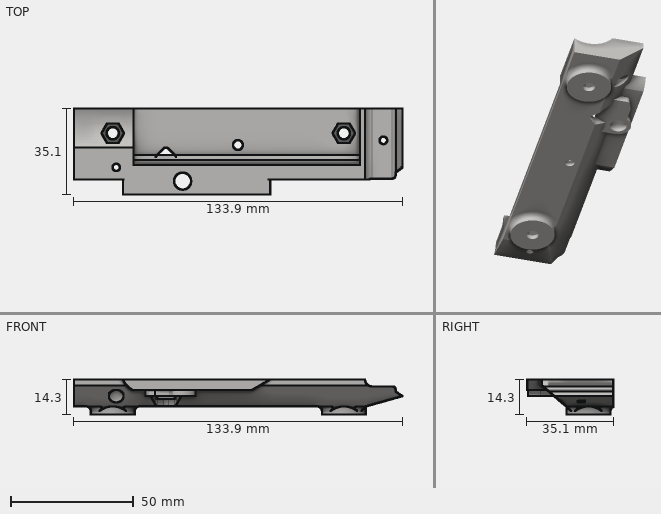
import cadquery as cq
import math


length = 133.86
plate_height = 11.0
bar_width = 29.0
bevel_start = 19.1
side_face_height = 2.5

step_start = 118.6
step_radius = 2.8
ledge_z = plate_height - step_radius
nose_x = 131.1
nose_radius = 1.5
nose_corner_z = 6.0
tip_z = 4.2

wing_front = 35.07
wing_left = 20.0
wing_right = 80.0
wing_thickness = 4.35
wing_z = plate_height - wing_thickness
wing_left_run = 4.0
wing_left_radius = 8.0
wing_right_angle = 30.0

trough_radius = 12.5
trough_depth = 5.0
trough_y = 6.0

pocket_left = 24.2
pocket_right = 116.6
pocket_floor_z = 3.2
pocket_floor_width = 18.9
pocket_shelf_start = 21.0
pocket_shelf_z = 5.2
pocket_width = 23.0

foot_height = 3.3
foot_radius = 9.0
foot_fillet = 1.8
foot_y = 10.1
foot_x_positions = (15.85, 109.95)
screw_hole_diameter = 4.9
nut_across_flats = 8.0
nut_seat_z = -1.3
nose_underside_start = foot_x_positions[1] + foot_radius

boss_thickness = 2.5
boss_z = wing_z - boss_thickness
boss_left = 29.1
boss_round_radius = 5.2
boss_fillet = 1.0
boss_back = 18.0
pivot_x = 44.3
pivot_y = 29.6
pivot_hole_diameter = 6.85
tab_side_end = 29.25
tab_corner = (30.3, 30.85)
tab_corner_radius = 1.6
tab_front_start = 33.1
tab_front = 32.0

notch_x = 37.5
notch_apex_y = 15.4
notch_apex_radius = 1.4
notch_kink_radius = 5.0
notch_kink_y = 19.4
notch_mouth_y = 24.5
notch_mouth_half_width = 6.5

pocket_slope_z = boss_z

small_holes = ((17.25, 24.0, 2.9), (66.8, 14.9, 3.9), (126.05, 13.0, 3.0))
counterbore_diameter = 6.0
counterbore_top_z = 8.0


def cylinder(x, y, z_low, z_high, diameter):
    """Vertical cylinder; y is the distance from the rear edge."""
    base = cq.Workplane("XY", origin=(x, -y, z_low))
    return base.circle(diameter / 2).extrude(z_high - z_low)


def along_x(points, x_low, x_high):
    """Prism along X from (distance from rear edge, z) points."""
    section = [(-y, z) for y, z in points]
    return cq.Workplane("YZ", origin=(x_low, 0, 0)).polyline(section).close().extrude(x_high - x_low)


def make_bar():
    """Bar with a bevelled front, a stepped right end and a pointed nose."""
    bevelled = along_x(
        [
            (0, 0),
            (bevel_start, 0),
            (bar_width, plate_height - side_face_height),
            (bar_width, plate_height),
            (0, plate_height),
        ],
        0,
        length,
    )
    diagonal = math.sqrt(0.5)
    step_middle = (
        step_start + step_radius * (1 - diagonal),
        plate_height - step_radius * diagonal,
    )
    nose_middle = (
        nose_x - nose_radius * (1 - diagonal),
        ledge_z - nose_radius * (1 - diagonal),
    )
    side_profile = (
        cq.Workplane("XZ")
        .moveTo(0, 0)
        .lineTo(nose_underside_start, 0)
        .lineTo(length, tip_z)
        .lineTo(nose_x, nose_corner_z)
        .lineTo(nose_x, ledge_z - nose_radius)
        .threePointArc(nose_middle, (nose_x - nose_radius, ledge_z))
        .lineTo(step_start + step_radius, ledge_z)
        .threePointArc(step_middle, (step_start, plate_height))
        .lineTo(0, plate_height)
        .close()
        .extrude(bar_width)
    )
    return bevelled.intersect(side_profile)


def make_wing():
    """Thin plate with a curved left end and a sloping right end."""
    right_run = wing_thickness / math.tan(math.radians(wing_right_angle))
    return (
        cq.Workplane("XZ", origin=(0, -bevel_start, 0))
        .moveTo(wing_left, plate_height)
        .radiusArc((wing_left + wing_left_run, wing_z), -wing_left_radius)
        .lineTo(wing_right - right_run, wing_z)
        .lineTo(wing_right, plate_height)
        .close()
        .extrude(wing_front - bevel_start)
    )


def make_boss():
    """Tab with a round pivot end, hanging below the wing."""
    tab = (
        cq.Workplane("XY", origin=(0, 0, boss_z))
        .moveTo(boss_left, -boss_back)
        .lineTo(boss_left, -tab_side_end)
        .radiusArc((tab_corner[0], -tab_corner[1]), -tab_corner_radius)
        .lineTo(tab_front_start, -tab_front)
        .lineTo(pivot_x, -tab_front)
        .lineTo(pivot_x + boss_round_radius, -pivot_y)
        .lineTo(pivot_x + boss_round_radius, -boss_back)
        .close()
        .extrude(boss_thickness)
    )
    boss = tab.union(cylinder(pivot_x, pivot_y, boss_z, wing_z, 2 * boss_round_radius))
    joint_x = pivot_x - math.sqrt(boss_round_radius**2 - (tab_front - pivot_y) ** 2)
    joint = cq.NearestToPointSelector((joint_x, -tab_front, boss_z + boss_thickness / 2))
    return boss.edges(joint).fillet(boss_fillet)


def make_foot(x):
    """Foot with a filleted root; the fillet fades out at the edges of the flat underside."""
    root_radius = foot_radius + foot_fillet
    flare = (
        cq.Workplane("XZ")
        .lineTo(root_radius, 0)
        .radiusArc((foot_radius, -foot_fillet), -foot_fillet)
        .lineTo(0, -foot_fillet)
        .close()
        .revolve(360, (0, 0, 0), (0, 1, 0))
        .translate((x, -foot_y, 0))
    )
    front_trim = along_x(
        [(0, 0), (bevel_start, 0), (bevel_start - foot_fillet, -foot_fillet), (0, -foot_fillet)],
        0,
        length,
    )
    end_trim = (
        cq.Workplane("XZ")
        .lineTo(nose_underside_start, 0)
        .lineTo(nose_underside_start - foot_fillet, -foot_fillet)
        .lineTo(0, -foot_fillet)
        .close()
        .extrude(bar_width)
    )
    disc = cylinder(x, foot_y, -foot_height, pocket_floor_z / 2, 2 * foot_radius)
    return disc.union(flare.intersect(front_trim).intersect(end_trim))


def make_trough():
    """Cylinder along X that hollows the top of the left end."""
    axis_z = plate_height + trough_radius - trough_depth
    return (
        cq.Workplane("YZ", origin=(0, -trough_y, axis_z))
        .circle(trough_radius)
        .extrude(pocket_left)
    )


def make_pocket():
    """Pocket open to the top and rear, with a shelf along its front wall."""
    return along_x(
        [
            (0, pocket_floor_z),
            (pocket_floor_width, pocket_floor_z),
            (pocket_floor_width, pocket_slope_z),
            (pocket_shelf_start, pocket_shelf_z),
            (pocket_width, pocket_shelf_z),
            (pocket_width, plate_height),
            (0, plate_height),
        ],
        pocket_left,
        pocket_right,
    )


def make_notch():
    """V-shaped cutout with a rounded apex, from the underside up to the boss."""
    kink_half_width = notch_kink_y - notch_apex_y
    notch = (
        cq.Workplane("XY")
        .polyline(
            [
                (notch_x, -notch_apex_y),
                (notch_x + kink_half_width, -notch_kink_y),
                (notch_x + notch_mouth_half_width, -notch_mouth_y),
                (notch_x - notch_mouth_half_width, -notch_mouth_y),
                (notch_x - kink_half_width, -notch_kink_y),
            ]
        )
        .close()
        .extrude(boss_z)
    )
    notch = notch.edges("|Z").edges(">Y").fillet(notch_apex_radius)
    for side in (-1, 1):
        kink = (notch_x + side * kink_half_width, -notch_kink_y, boss_z / 2)
        notch = notch.edges(cq.NearestToPointSelector(kink)).fillet(notch_kink_radius)
    return notch


def make_nut_recess(x):
    """Hexagonal recess open to the top, with a screw hole through the foot."""
    across_corners = nut_across_flats / math.cos(math.radians(30))
    recess = (
        cq.Workplane("XY", origin=(x, -foot_y, nut_seat_z))
        .polygon(6, across_corners)
        .extrude(plate_height - nut_seat_z)
    )
    return recess.union(cylinder(x, foot_y, -foot_height, plate_height, screw_hole_diameter))


result = make_bar().union(make_wing()).union(make_boss())
for foot_x in foot_x_positions:
    result = result.union(make_foot(foot_x))

result = result.cut(make_trough()).cut(make_pocket()).cut(make_notch())
for foot_x in foot_x_positions:
    result = result.cut(make_nut_recess(foot_x))

result = result.cut(cylinder(pivot_x, pivot_y, 0, plate_height, pivot_hole_diameter))
for hole_x, hole_y, hole_diameter in small_holes:
    result = result.cut(cylinder(hole_x, hole_y, 0, plate_height, hole_diameter))

counterbore_x, counterbore_y, _ = small_holes[0]
result = result.cut(cylinder(counterbore_x, counterbore_y, 0, counterbore_top_z, counterbore_diameter))